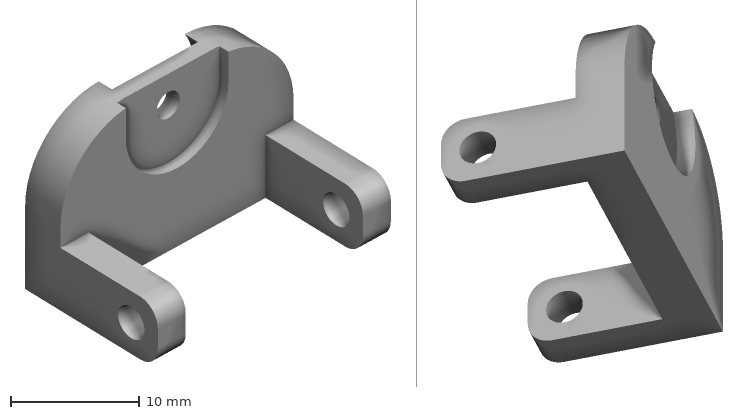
import cadquery as cq

width = 25.0
height = 16.0
reach = 15.0

plate_thickness = 4.0
corner_radius = 8.0

arm_thickness = 3.0
arm_height = 6.0
arm_end_radius = 2.0
pivot_diameter = 3.0
pivot_to_end = 3.0

seat_diameter = 11.0
seat_height = 13.0
outer_seat_depth = 1.5
inner_seat_depth = 1.0
seat_hole_diameter = 2.5


def cylinder_along_x(diameter, start, length):
    """Cylinder on the seat axis, running in +X from start."""
    return (
        cq.Workplane("YZ", origin=(start, 0, seat_height))
        .circle(diameter / 2)
        .extrude(length)
    )


def make_plate():
    """Upright plate with its two top corners rounded."""
    return (
        cq.Workplane("XY")
        .box(plate_thickness, width, height, centered=(False, True, False))
        .edges("|X and >Z")
        .fillet(corner_radius)
    )


def make_arm(start_y):
    """Arm with a rounded free end and a pivot hole."""
    arm = (
        cq.Workplane("XY", origin=(0, start_y, 0))
        .box(reach, arm_thickness, arm_height, centered=False)
        .edges("|Y and >X")
        .fillet(arm_end_radius)
    )
    pivot = (
        cq.Workplane("XZ", origin=(reach - pivot_to_end, start_y, arm_height / 2))
        .circle(pivot_diameter / 2)
        .extrude(-arm_thickness)
    )
    return arm.cut(pivot)


def make_inner_seat():
    """U-shaped pocket: a round bottom with straight walls open to the top."""
    start = plate_thickness - inner_seat_depth
    round_bottom = cylinder_along_x(seat_diameter, start, inner_seat_depth)
    straight_part = cq.Workplane("XY", origin=(start, 0, seat_height)).box(
        inner_seat_depth, seat_diameter, height - seat_height, centered=(False, True, False)
    )
    return round_bottom.union(straight_part)


result = make_plate()
for arm_start in (-width / 2, width / 2 - arm_thickness):
    result = result.union(make_arm(arm_start))

result = result.cut(cylinder_along_x(seat_diameter, 0, outer_seat_depth))
result = result.cut(make_inner_seat())
result = result.cut(cylinder_along_x(seat_hole_diameter, 0, plate_thickness))